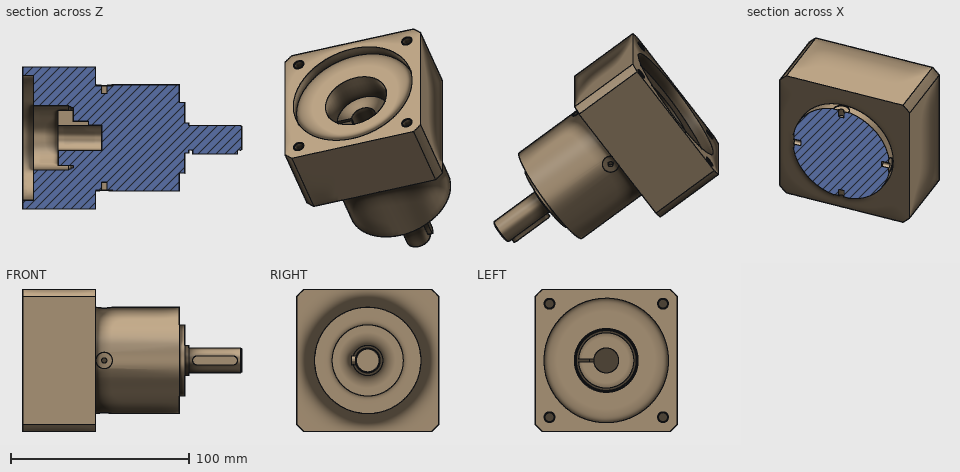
import cadquery as cq


total_length = 123.0

flange_side = 80.0
flange_length = 41.0
flange_corner_diameter = 107.4

pilot_recess_diameter = 70.0
pilot_recess_depth = 6.0
coupling_bore_diameter = 35.9
coupling_bore_end = 25.8
coupling_step_diameter = 34.8
coupling_step_end = 27.0
coupling_floor_diameter = 33.7
coupling_floor = 28.3

hub_diameter = 31.0
hub_face = 19.9
hub_bore_diameter = 14.0
hub_bore_end = 44.3
slot_width = 1.8
slot_inner_end = 36.9
slot_step_radius = 9.3

mount_spacing = 63.7
mount_hole_diameter = 5.0
mount_hole_depth = 12.0
mount_rim_diameter = 6.0
mount_rim_depth = 0.2

housing_diameter = 59.8
housing_end = 88.0
output_pilot_diameter = 40.0
output_pilot_end = 91.0
collar_diameter = 17.0
collar_end = 93.2
shaft_diameter = 14.0
shaft_chamfer = 0.6

spot_count = 4
spot_x = 45.8
spot_diameter = 9.2
spot_depth = 0.6
spot_hole_diameter = 3.0
spot_hole_depth = 4.9

key_length = 25.2
key_width = 5.0
key_height = 5.0
key_top = 9.1
key_center_x = 108.0


def cylinder(diameter, start, end):
    """Cylinder on the X axis between two stations."""
    return cq.Workplane("YZ", origin=(start, 0, 0)).circle(diameter / 2).extrude(end - start)


def make_flange():
    square = cq.Workplane("YZ").rect(flange_side, flange_side).extrude(flange_length)
    return square.intersect(cylinder(flange_corner_diameter, 0, flange_length))


def make_output_side():
    """Housing and the successively smaller steps towards the shaft end."""
    housing = cylinder(housing_diameter, flange_length, housing_end)
    pilot = cylinder(output_pilot_diameter, housing_end, output_pilot_end)
    collar = cylinder(collar_diameter, output_pilot_end, collar_end)
    shaft = cylinder(shaft_diameter, collar_end, total_length).faces(">X").chamfer(shaft_chamfer)
    return housing.union(pilot).union(collar).union(shaft)


def make_key():
    return (
        cq.Workplane("XZ", origin=(key_center_x, -key_top, 0))
        .slot2D(key_length, key_width)
        .extrude(-key_height)
    )


def make_motor_cavity():
    """Pilot recess and stepped bore, without the space taken by the clamping hub."""
    recess = cylinder(pilot_recess_diameter, 0, pilot_recess_depth)
    bore = cylinder(coupling_bore_diameter, pilot_recess_depth, coupling_bore_end)
    step = cylinder(coupling_step_diameter, coupling_bore_end, coupling_step_end)
    floor = cylinder(coupling_floor_diameter, coupling_step_end, coupling_floor)
    hub = cylinder(hub_diameter, hub_face, coupling_floor)
    return recess.union(bore).union(step).union(floor).cut(hub)


def make_hub_cuts():
    """Motor shaft bore and the clamping slot on +Y.

    The slot is level with the cavity floor at the rim and deeper close to the bore.
    """
    bore = cylinder(hub_bore_diameter, hub_face, hub_bore_end)
    rim_slot = cq.Workplane("XY").box(
        coupling_floor - hub_face, hub_diameter / 2, slot_width, centered=(False, False, True)
    )
    inner_slot = cq.Workplane("XY").box(
        slot_inner_end - hub_face, slot_step_radius, slot_width, centered=(False, False, True)
    )
    slot = rim_slot.union(inner_slot).translate((hub_face, 0, 0))
    return bore.union(slot)


def make_mount_holes():
    corners = cq.Workplane("YZ").rect(mount_spacing, mount_spacing, forConstruction=True).vertices()
    holes = corners.circle(mount_hole_diameter / 2).extrude(mount_hole_depth)
    rims = corners.circle(mount_rim_diameter / 2).extrude(mount_rim_depth)
    return holes.union(rims)


def make_spot_face():
    """Cutter for the spot face and hole on the +Z side of the housing."""
    top = cq.Workplane("XY", origin=(spot_x, 0, housing_diameter / 2))
    face = top.circle(spot_diameter / 2).extrude(-spot_depth)
    hole = top.circle(spot_hole_diameter / 2).extrude(-spot_hole_depth)
    return face.union(hole)


result = make_flange().union(make_output_side()).union(make_key())
result = result.cut(make_motor_cavity()).cut(make_hub_cuts()).cut(make_mount_holes())
for index in range(spot_count):
    angle = index * 360.0 / spot_count
    result = result.cut(make_spot_face().rotate((0, 0, 0), (1, 0, 0), angle))